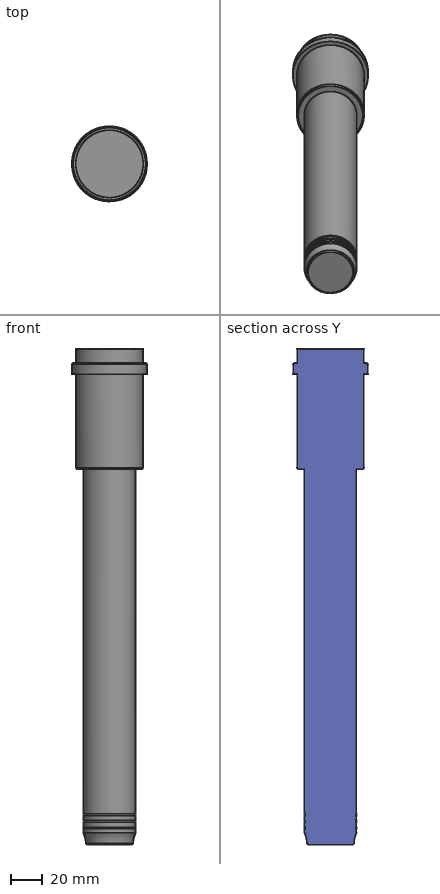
import cadquery as cq

length = 310.0
flange_radius = 23.5
head_radius = 21.0
shank_radius = 16.5

head_bottom = 234.7
flange_bottom = 294.2
flange_top = 301.3
edge_chamfer = 1.0

flare_top = 7.5
tip_radius = 15.0
tip_chamfer = 1.0
flare_bow = 0.37

groove_count = 3
last_groove_center = 19.0
first_groove_center = 10.5
groove_width = 1.2
groove_depth = 0.5
groove_pitch = (last_groove_center - first_groove_center) / (groove_count - 1)


def make_tip():
    flare_middle = ((tip_radius + shank_radius) / 2 - flare_bow, (tip_chamfer + flare_top) / 2)
    return (
        cq.Workplane("XZ")
        .lineTo(tip_radius - tip_chamfer, 0)
        .lineTo(tip_radius, tip_chamfer)
        .threePointArc(flare_middle, (shank_radius, flare_top))
        .lineTo(0, flare_top)
        .close()
        .revolve(360, (0, 0), (0, 1))
    )


def make_cylinder(radius, bottom, top):
    return cq.Workplane("XY").workplane(offset=bottom).circle(radius).extrude(top - bottom)


def make_groove(center):
    bottom = center - groove_width / 2
    ring = cq.Workplane("XY").workplane(offset=bottom).circle(shank_radius)
    return ring.circle(shank_radius - groove_depth).extrude(groove_width)


shank = make_cylinder(shank_radius, flare_top, head_bottom)
head = make_cylinder(head_radius, head_bottom, length).faces("<Z").chamfer(edge_chamfer)
flange = make_cylinder(flange_radius, flange_bottom, flange_top).faces(">Z").chamfer(edge_chamfer)

result = make_tip().union(shank).union(head).union(flange)
for index in range(groove_count):
    result = result.cut(make_groove(first_groove_center + index * groove_pitch))